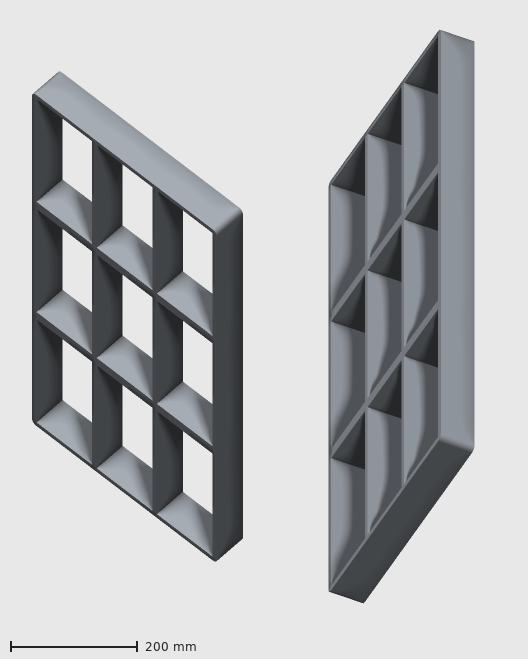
import cadquery as cq

width = 401.0
depth = 60.0
height = 894.0
corner_radius = 10.0

columns = 3
rows = 3
rim = 10.0
upright_thickness = 10.0
shelf_thickness = 20.0
opening_width = (width - 2 * rim - (columns - 1) * upright_thickness) / columns
opening_height = (height - 2 * rim - (rows - 1) * shelf_thickness) / rows
column_pitch = opening_width + upright_thickness
row_pitch = opening_height + shelf_thickness


def make_blank():
    """Solid slab with its four corners rounded along the depth."""
    return cq.Workplane("XY").box(width, depth, height).edges("|Y").fillet(corner_radius)


def make_openings():
    """Evenly spaced blocks that pass through the full depth."""
    return (
        cq.Workplane("XZ")
        .rarray(column_pitch, row_pitch, columns, rows)
        .rect(opening_width, opening_height)
        .extrude(depth, both=True)
    )


result = make_blank().cut(make_openings())